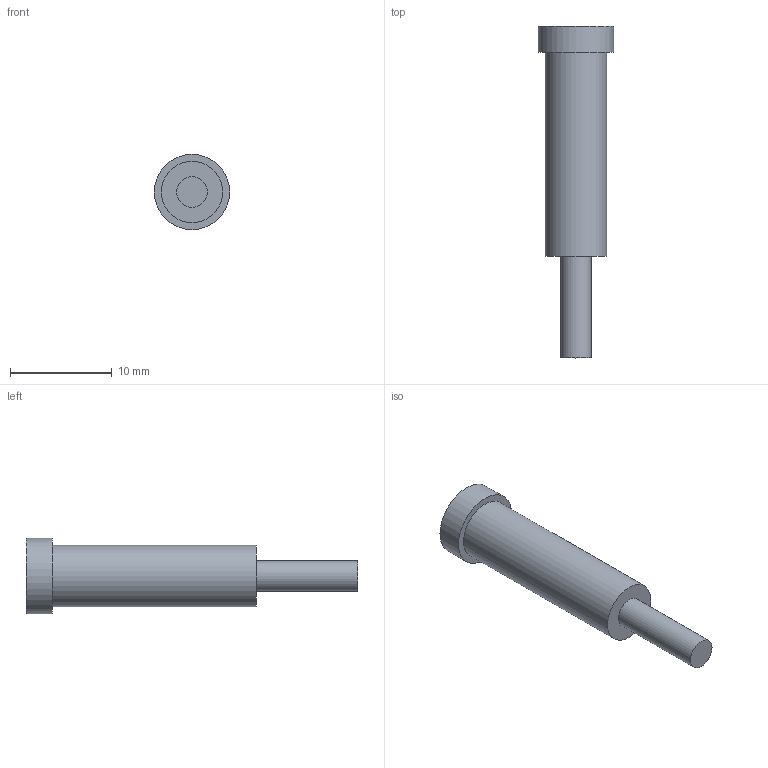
import cadquery as cq

head_diameter = 7.38
body_diameter = 6.0
tip_diameter = 3.0

head_length = 2.57
body_length = 20.0
tip_length = 10.0

total_length = head_length + body_length + tip_length
front_y = -total_length / 2


def cylinder_along_y(diameter, start_y, length):
    """Solid cylinder on the Y axis, running from start_y toward +Y."""
    base = cq.Workplane("XZ", origin=(0, start_y, 0))
    return base.circle(diameter / 2).extrude(-length)


body_start_y = front_y + tip_length
head_start_y = body_start_y + body_length

tip = cylinder_along_y(tip_diameter, front_y, tip_length)
body = cylinder_along_y(body_diameter, body_start_y, body_length)
head = cylinder_along_y(head_diameter, head_start_y, head_length)

result = tip.union(body).union(head)